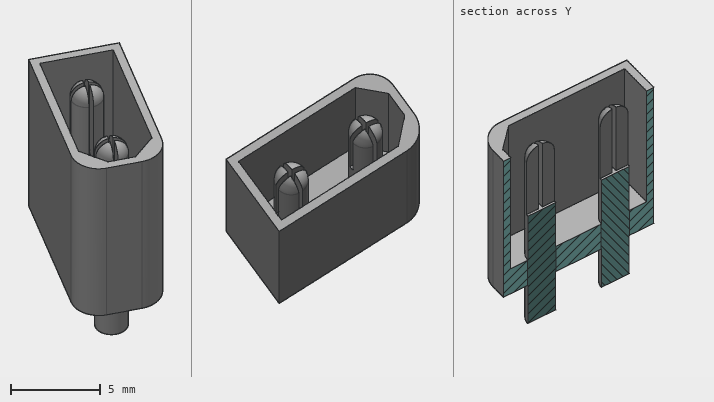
import cadquery as cq

housing_length = 10.2
housing_width = 5.25
housing_height = 10.7
corner_radius = 1.6
wall = 0.5
floor_thickness = 2.0
cavity_chamfer = 1.33

pin_diameter = 1.9
pin_radius = pin_diameter / 2
pin_spacing = 5.0
first_pin_x = (housing_length - pin_spacing) / 2
pin_positions = [first_pin_x, first_pin_x + pin_spacing]
pin_tail = 3.0
tip_recess = 0.25
slot_width = 0.26
slot_depth = 5.0

pin_length = pin_tail + housing_height - tip_recess


def make_pin(x):
    """Revolve a domed pin, cut the crossed slots and stand it at the given X."""
    dome_base = pin_length - pin_radius
    pin = (
        cq.Workplane("XZ")
        .lineTo(pin_radius, 0)
        .lineTo(pin_radius, dome_base)
        .radiusArc((0, pin_length), -pin_radius)
        .close()
        .revolve(360, (0, 0), (0, 1))
    )
    slot_floor = cq.Workplane("XY", origin=(0, 0, pin_length - slot_depth))
    slot = slot_floor.rect(pin_diameter, slot_width).extrude(slot_depth)
    for angle in (0, 90):
        pin = pin.cut(slot.rotate((0, 0, 0), (0, 0, 1), angle))
    return pin.translate((x, 0, -pin_tail))


def make_housing():
    """Shell with a keyed cavity and a through hole for each pin."""
    shell = (
        cq.Workplane("XY")
        .box(housing_length, housing_width, housing_height, centered=(False, True, False))
        .edges("|Z and >X")
        .fillet(corner_radius)
    )
    cavity = (
        cq.Workplane("XY", origin=(wall, 0, floor_thickness))
        .box(
            housing_length - 2 * wall,
            housing_width - 2 * wall,
            housing_height - floor_thickness,
            centered=(False, True, False),
        )
        .edges("|Z and >X")
        .chamfer(cavity_chamfer)
    )
    pin_holes = (
        cq.Workplane("XY")
        .pushPoints([(x, 0) for x in pin_positions])
        .circle(pin_radius)
        .extrude(housing_height)
    )
    return shell.cut(cavity).cut(pin_holes)


housing = make_housing()
pins = [make_pin(x) for x in pin_positions]

result = cq.Compound.makeCompound([housing.val(), *[pin.val() for pin in pins]])